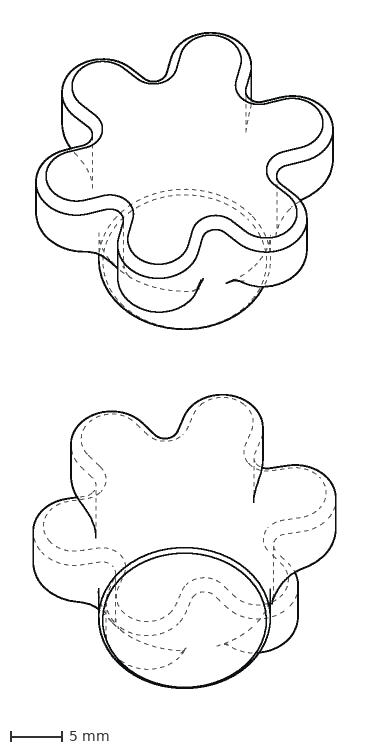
import cadquery as cq
import math

total_height = 19.0
lobe_count = 6
tip_reach = 15.0
lobe_radius = 4.0
valley_radius = 1.32
neck_radius = 8.4
neck_height = 5.0
flare_radius = 6.0
top_chamfer = 1.0
neck_chamfer = 0.4
underside_fillet = 1.98

lobe_pitch = 360 / lobe_count
half_pitch = math.radians(lobe_pitch / 2)
lobe_center = tip_reach - lobe_radius
flank_start = (lobe_radius + valley_radius) / math.tan(half_pitch)
valley_center = (lobe_radius + valley_radius) / math.sin(half_pitch)
valley_depth = valley_center - valley_radius
underside_height = neck_height + flare_radius
blank_radius = tip_reach + lobe_radius
first_lobe_angle = 90.0


def lobe_point(along, across, lobe_angle):
    """Turn a point given along and across a lobe into X, Y."""
    angle = math.radians(lobe_angle)
    return (
        along * math.cos(angle) - across * math.sin(angle),
        along * math.sin(angle) + across * math.cos(angle),
    )


def lobed_prism():
    """Full-height prism of round-ended lobes joined by rounded valleys."""
    outline = cq.Workplane("XY").moveTo(*lobe_point(flank_start, -lobe_radius, first_lobe_angle))
    for index in range(lobe_count):
        angle = first_lobe_angle + index * lobe_pitch
        outline = (
            outline.lineTo(*lobe_point(lobe_center, -lobe_radius, angle))
            .threePointArc(
                lobe_point(tip_reach, 0, angle),
                lobe_point(lobe_center, lobe_radius, angle),
            )
            .lineTo(*lobe_point(flank_start, lobe_radius, angle))
            .threePointArc(
                lobe_point(valley_depth, 0, angle + lobe_pitch / 2),
                lobe_point(flank_start, -lobe_radius, angle + lobe_pitch),
            )
        )
    return outline.close().extrude(total_height)


def flared_blank():
    """Turned blank above the neck: concave flare, flat underside, flat top."""
    flare_center = neck_radius + flare_radius
    mid_offset = flare_radius * math.sqrt(0.5)
    return (
        cq.Workplane("XZ")
        .moveTo(0, neck_height)
        .lineTo(neck_radius, neck_height)
        .threePointArc(
            (flare_center - mid_offset, neck_height + mid_offset),
            (flare_center, underside_height),
        )
        .lineTo(blank_radius, underside_height)
        .lineTo(blank_radius, total_height)
        .lineTo(0, total_height)
        .close()
        .revolve(360, (0, 0, 0), (0, 1, 0))
    )


def underside_rim(head):
    """Edges where the lobed wall meets the flare and the flat underside."""
    margin = 0.03
    flare_top_radius = neck_radius + flare_radius

    def on_rim(edge):
        box = edge.BoundingBox()
        between_neck_and_wall = box.zmin > neck_height + margin and box.zmax < underside_height + margin
        ends_the_flare = edge.geomType() == "CIRCLE" and abs(edge.radius() - flare_top_radius) < margin
        return between_neck_and_wall and not ends_the_flare

    return head.newObject([edge for edge in head.edges().vals() if on_rim(edge)])


def lobed_head():
    """Lobes cut from the blank, with rounded underside and chamfered top."""
    head = flared_blank().intersect(lobed_prism())
    head = underside_rim(head).fillet(underside_fillet)
    return head.faces(">Z").chamfer(top_chamfer)


def neck():
    """Round neck with a small chamfer at its foot."""
    return cq.Workplane("XY").circle(neck_radius).extrude(neck_height).faces("<Z").chamfer(neck_chamfer)


result = lobed_head().union(neck())